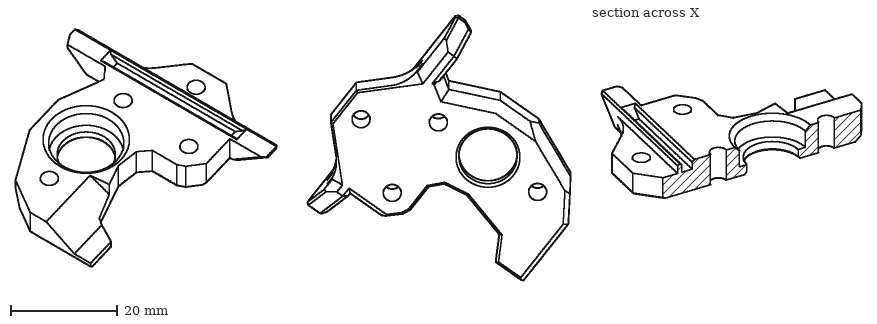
import cadquery as cq
import math

HEIGHT = 6.8
BIG = 96.45

SMALL_CHAMFER = 0.5
CHAMFER = 1.0
LARGE_CHAMFER = 2.03

BAR_LEFT = -17.5
BAR_RIGHT = 29.8
BAR_SOUTH = 16.25
BAR_NORTH = 20.5
LEFT_TIP_Z = 5.4
RIGHT_TIP_Z = 6.2
BAR_BOTTOM_LEFT = -12.45
BAR_BOTTOM_RIGHT = 22.6
NORTH_CHAMFER_ALONG = 0.5
NORTH_CHAMFER_INSET = 0.35
NORTH_BOTTOM_CHAMFER = 1.85
TIP_CORNER_X = 1.0
TIP_CORNER_Y = 2.15

SLOT_LEFT = -9.1
SLOT_RIGHT = 22.8
SLOT_SOUTH = 16.9
SLOT_NORTH = BAR_NORTH - NORTH_CHAMFER_ALONG
SLOT_DEPTH = 2.03
SLOT_CHAMFER = 0.5

PLATE_WEST = -9.95
PLATE_SOUTH = -20.4
PLATE_EAST = 21.65
WEST_FLAT_HALF = 4.55
WEST_NOTCH = (-5.95, 13.6)
WEST_BAR_CORNER = (-7.6, BAR_SOUTH)
SOUTHWEST_CORNER = (-4.9, -15.75)
SOUTH_CORNER = (2.0, PLATE_SOUTH)
TOE_X = 16.15
STEEP_HEIGHT = 4.45
STEEP_INSET = 1.55
JOIN_Y = 17.6
PLATE_OUTLINE = [
    (WEST_BAR_CORNER[0], JOIN_Y),
    WEST_BAR_CORNER,
    WEST_NOTCH,
    (PLATE_WEST, WEST_FLAT_HALF),
    (PLATE_WEST, -WEST_FLAT_HALF),
    SOUTHWEST_CORNER,
    SOUTH_CORNER,
    (TOE_X, PLATE_SOUTH),
    (TOE_X, -13.9),
    (11.35, -11.15),
    (8.65, -1.45),
    (9.35, 3.3),
    (11.58, 5.3),
    (17.35, 5.3),
    (18.9, 6.0),
    (PLATE_EAST, 8.85),
    (PLATE_EAST, JOIN_Y),
]

RAMP_TOP_X = 5.75
RAMP_FOOT_X = 12.35
TOE_THICKNESS = 2.03
RAMP_WALL_WEST_Y = -6.5
RAMP_WALL_SLOPE = 0.095

TAB_CENTER_X = 8.2
TAB_NORTH = 27.85
TAB_HALF_WIDTH = 4.05
TAB_HEIGHT = 4.77
TAB_FILLET = 8.7
TAB_CHAMFER = 0.4

BORE_DIAMETER = 11.0
SEAT_DIAMETER = 14.2
SEAT_Z = 2.15
SEAT_CHAMFER = 1.05
BORE_CHAMFER = 0.55
SCREW_DIAMETER = 3.4
SCREW_POINTS = [(0, 11.65), (0, -11.65), (16.55, 10.2), (TAB_CENTER_X, 23.75)]


def bevel_cutter(start, end, height, inset=None):
    """Wedge that bevels the bottom edge start-end, with the part on the left of that direction.

    Without an inset the bevel is at 45 degrees.
    """
    inset = height if inset is None else inset
    length = math.dist(start, end)
    along = ((end[0] - start[0]) / length, (end[1] - start[1]) / length, 0)
    inward = (-along[1], along[0], 0)
    plane = cq.Plane(origin=(*start, 0), xDir=inward, normal=along)
    outer_x = inset - BIG * inset / height
    return (
        cq.Workplane(plane)
        .polyline([(inset, 0), (outer_x, BIG), (outer_x, 0)])
        .close()
        .extrude(BIG, both=True)
    )


def midpoint(start, end):
    return tuple((a + b) / 2 for a, b in zip(start, end))


def chamfer_edges(solid, points, size):
    """Chamfer the edges whose midpoints are the given points."""
    edges = [solid.edges(cq.selectors.NearestToPointSelector(point)).val() for point in points]
    return solid.newObject(edges).chamfer(size)


def chamfer_bottom(solid, sides, size):
    return chamfer_edges(solid, [(*midpoint(start, end), 0) for start, end in sides], size)


def make_plate():
    plate = cq.Workplane("XY").polyline(PLATE_OUTLINE).close().extrude(HEIGHT)
    sides = list(zip(PLATE_OUTLINE, PLATE_OUTLINE[1:]))
    west_sides = sides[0:4]
    southwest_side = sides[4]
    south_sides = sides[5:7]
    inner_sides = sides[7:15]
    east_side = sides[15]

    plate = chamfer_bottom(plate, west_sides, LARGE_CHAMFER)
    plate = chamfer_bottom(plate, inner_sides, SMALL_CHAMFER)
    plate = plate.cut(bevel_cutter(*southwest_side, STEEP_HEIGHT, STEEP_INSET))
    for start, end in [*south_sides, east_side]:
        plate = plate.cut(bevel_cutter(start, end, CHAMFER))
    return plate.cut(make_ramp_cutter())


def make_ramp_cutter():
    profile = (
        cq.Workplane("XZ")
        .polyline([(RAMP_TOP_X, HEIGHT), (RAMP_FOOT_X, TOE_THICKNESS), (BIG, TOE_THICKNESS), (BIG, HEIGHT)])
        .close()
        .extrude(BIG, both=True)
    )
    wall_east_y = RAMP_WALL_WEST_Y + RAMP_WALL_SLOPE * (TOE_X - RAMP_TOP_X)
    area = (
        cq.Workplane("XY")
        .polyline([(RAMP_TOP_X, RAMP_WALL_WEST_Y), (RAMP_TOP_X, -BIG), (TOE_X, -BIG), (TOE_X, wall_east_y)])
        .close()
        .extrude(HEIGHT)
    )
    return profile.intersect(area)


def make_bar():
    outline = [
        (BAR_LEFT, HEIGHT),
        (BAR_LEFT, LEFT_TIP_Z),
        (BAR_BOTTOM_LEFT, 0),
        (BAR_BOTTOM_RIGHT, 0),
        (BAR_RIGHT, RIGHT_TIP_Z),
        (BAR_RIGHT, HEIGHT),
    ]
    straight_north = BAR_NORTH - NORTH_CHAMFER_ALONG
    base = cq.Workplane("XZ", origin=(0, straight_north, 0))
    bar = base.polyline(outline).close().extrude(straight_north - BAR_SOUTH)
    taper = math.degrees(math.atan2(NORTH_CHAMFER_INSET, NORTH_CHAMFER_ALONG))
    north_edge = base.polyline(outline).close().extrude(-NORTH_CHAMFER_ALONG, taper=taper)
    lower_sides = zip(outline[1:4], outline[2:5])
    middles = [midpoint(start, end) for start, end in lower_sides]
    bar = chamfer_edges(bar, [(x, BAR_SOUTH, z) for x, z in middles], CHAMFER)
    tip_corner = (
        cq.Workplane("XY")
        .polyline([
            (BAR_LEFT, BAR_SOUTH + TIP_CORNER_Y),
            (BAR_LEFT, BAR_SOUTH),
            (BAR_LEFT + TIP_CORNER_X, BAR_SOUTH),
        ])
        .close()
        .extrude(HEIGHT)
    )
    bar = bar.cut(tip_corner).union(north_edge)
    return bar.cut(bevel_cutter((0, BAR_NORTH), (-0.5, BAR_NORTH), NORTH_BOTTOM_CHAMFER))


def make_tab():
    side_angle = math.radians(45)
    corner = (TAB_HALF_WIDTH, TAB_NORTH)
    root = TAB_HALF_WIDTH + TAB_NORTH - BAR_NORTH
    arc_end = (root + TAB_FILLET * math.tan(side_angle / 2), BAR_NORTH)

    def arc_point(angle):
        x = arc_end[0] - TAB_FILLET * math.sin(angle)
        y = BAR_NORTH + TAB_FILLET * (1 - math.cos(angle))
        return (x, y)

    half = (
        cq.Workplane("XY")
        .moveTo(0, JOIN_Y)
        .lineTo(0, TAB_NORTH)
        .lineTo(*corner)
        .lineTo(*arc_point(side_angle))
        .threePointArc(arc_point(side_angle / 2), arc_end)
        .lineTo(arc_end[0], JOIN_Y)
        .close()
        .extrude(TAB_HEIGHT)
    )
    half = half.cut(bevel_cutter((root, BAR_NORTH), corner, TAB_CHAMFER))
    half = half.cut(bevel_cutter(corner, (0, TAB_NORTH), TAB_CHAMFER))
    return half.union(half.mirror("YZ")).translate((TAB_CENTER_X, 0, 0))


def make_slot_cutter():
    left_slope = (BAR_BOTTOM_LEFT - BAR_LEFT) / LEFT_TIP_Z
    right_slope = (BAR_RIGHT - BAR_BOTTOM_RIGHT) / RIGHT_TIP_Z
    floor_z = HEIGHT - SLOT_DEPTH
    lengthwise = (
        cq.Workplane("XZ", origin=(0, SLOT_NORTH, 0))
        .polyline([
            (SLOT_LEFT, HEIGHT),
            (SLOT_LEFT + SLOT_DEPTH * left_slope, floor_z),
            (SLOT_RIGHT - SLOT_DEPTH * right_slope, floor_z),
            (SLOT_RIGHT, HEIGHT),
        ])
        .close()
        .extrude(SLOT_NORTH - SLOT_SOUTH)
    )
    crosswise = (
        cq.Workplane("YZ", origin=(SLOT_LEFT, 0, 0))
        .polyline([
            (SLOT_SOUTH, HEIGHT),
            (SLOT_SOUTH + SLOT_CHAMFER, HEIGHT - SLOT_CHAMFER),
            (SLOT_SOUTH + SLOT_CHAMFER, floor_z),
            (SLOT_NORTH - SLOT_CHAMFER, floor_z),
            (SLOT_NORTH - SLOT_CHAMFER, HEIGHT - SLOT_CHAMFER),
            (SLOT_NORTH, HEIGHT),
        ])
        .close()
        .extrude(SLOT_RIGHT - SLOT_LEFT)
    )
    return lengthwise.intersect(crosswise)


def make_bearing_cutter():
    bore = BORE_DIAMETER / 2
    seat = SEAT_DIAMETER / 2
    return (
        cq.Workplane("XZ")
        .polyline([
            (0, 0),
            (bore + BORE_CHAMFER, 0),
            (bore, BORE_CHAMFER),
            (bore, SEAT_Z),
            (seat, SEAT_Z),
            (seat, HEIGHT - SEAT_CHAMFER),
            (seat + SEAT_CHAMFER, HEIGHT),
            (0, HEIGHT),
        ])
        .close()
        .revolve(360, (0, 0, 0), (0, 1, 0))
    )


screw_holes = cq.Workplane("XY").pushPoints(SCREW_POINTS).circle(SCREW_DIAMETER / 2).extrude(HEIGHT)

result = (
    make_bar()
    .union(make_plate())
    .union(make_tab())
    .cut(make_slot_cutter())
    .cut(make_bearing_cutter())
    .cut(screw_holes)
)